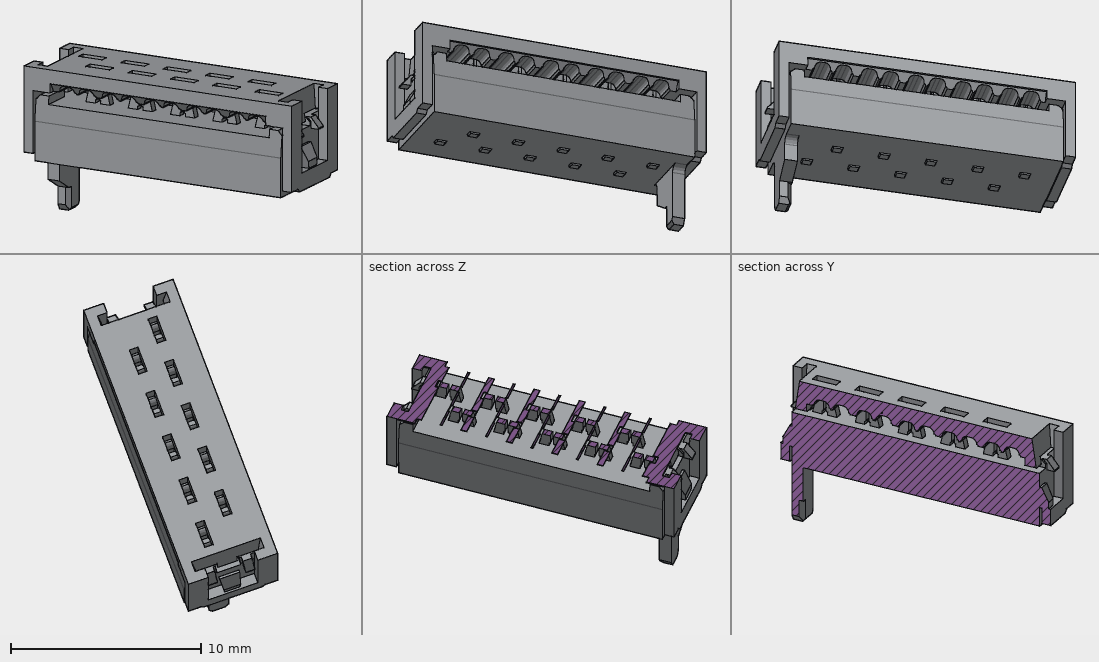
import cadquery as cq
import math


length = 16.08
width = 5.0
cover_top = 5.1
peg_bottom = -3.3

leg_thickness = 0.55
leg_inner = length / 2 - leg_thickness
leg_bottom_mid = 0.2
leg_bottom_side = 0.39
leg_bottom_half = 1.62
leg_bottom_slope = 0.18
plate_bottom = 3.83
mouth_half = 6.48
mouth_top = 4.33
mouth_ledge = 0.11
mouth_run = (mouth_top - plate_bottom) * math.tan(math.radians(30))
leg_window_width = 2.77
leg_window_bottom = 1.17
pocket_width = 3.86
pocket_inner = 6.93
pocket_taper = 0.2
tab_bottom = 3.4
tab_width = 1.1
tab_outer = pocket_inner + pocket_taper

groove_half = 0.43
groove_top = 4.25
groove_corner = 0.32
groove_spring = groove_top - groove_corner
groove_flare = groove_spring - plate_bottom
groove_shift = 0.11

contact_count = 10
pitch = 1.27
row_offset = 0.75
contact_thickness = 0.39
contact_foot_half = 0.72
contact_tip_half = 0.42
contact_tip = 4.79
contact_throat = 4.5
contact_bend_half = 0.56
contact_bend = 3.83
tip_round = 0.16
fork_half = 0.088
fork_foot_half = 0.16
fork_flare_low = 3.31
fork_flare_high = 3.38
window_length = 1.42
window_width = 0.48
tail_depth = 0.1
tail_bottom = 0.48
tail_top = 0.58

base_length = 14.76
base_end = base_length / 2
base_top = 3.15
post_inner = 6.62
post_top = 3.6
post_chamfer = 0.24
post_notch = 1.33
side_slope_bottom = 2.17
side_slope_run = 0.11

upper_latch_width = 0.51
upper_latch_y = 1.05
upper_latch_reach = 7.85
upper_latch_tip = 3.05
upper_latch_bottom = 2.99
lower_latch_top = 2.33
lower_latch_tip = 1.56
lower_latch_bottom = 1.1
lower_latch_reach = 7.93
lower_latch_shelf = 7.51
lower_latch_top_half = 0.56
lower_latch_bottom_half = 0.42

peg_thickness = 0.69
peg_half = 1.1
peg_root_radius = 0.39
peg_step_top = -1.35
peg_step_bottom = -2.0
peg_tip_run = 0.2
peg_tip_rise = 0.34
peg_edge_chamfer = 0.24
peg_end_chamfer = 0.16


def block(x0, x1, y0, y1, z0, z1):
    return cq.Workplane("XY").box(x1 - x0, y1 - y0, z1 - z0, centered=False).translate((x0, y0, z0))


def extrude_x(points, x0, x1):
    """Prism along X from (y, z) points."""
    return cq.Workplane("YZ").polyline(points).close().extrude(x1 - x0).translate((x0, 0, 0))


def extrude_y(profile, y0, y1):
    """Prism along Y from a closed wire drawn on the XZ plane."""
    return profile.extrude(y0 - y1).translate((0, y0, 0))


def both_ends(shape):
    return shape.union(shape.mirror("YZ"))


def contact_places():
    """X, Y and groove centre of every contact; odd and even contacts sit in opposite rows."""
    for index in range(contact_count):
        x = (index - (contact_count - 1) / 2) * pitch
        if index % 2 == 0:
            yield x, row_offset, x + groove_shift
        else:
            yield x, -row_offset, x


def end_pocket():
    """Tapered opening through the plate, between the leg and the middle of the plate."""
    top_half = pocket_width / 2
    bottom_half = top_half - pocket_taper
    depth = cover_top - plate_bottom
    return (
        cq.Workplane("XY", origin=(0, 0, plate_bottom))
        .polyline([(leg_inner, -bottom_half), (tab_outer, -bottom_half),
                   (tab_outer, bottom_half), (leg_inner, bottom_half)])
        .close()
        .workplane(offset=depth)
        .polyline([(leg_inner, -top_half), (pocket_inner, -top_half),
                   (pocket_inner, top_half), (leg_inner, top_half)])
        .close()
        .loft(ruled=True)
    )


def cable_groove(x):
    knee = groove_corner * math.sqrt(0.5)
    corner_x = groove_half - groove_corner
    mouth_x = groove_half + groove_flare
    profile = (
        cq.Workplane("XZ")
        .moveTo(x - mouth_x, plate_bottom)
        .radiusArc((x - groove_half, groove_spring), groove_flare)
        .threePointArc((x - corner_x - knee, groove_spring + knee), (x - corner_x, groove_top))
        .lineTo(x + corner_x, groove_top)
        .threePointArc((x + corner_x + knee, groove_spring + knee), (x + groove_half, groove_spring))
        .radiusArc((x + mouth_x, plate_bottom), groove_flare)
        .close()
    )
    return extrude_y(profile, -width / 2, width / 2)


def make_cover():
    side = width / 2
    cover = block(-length / 2, length / 2, -side, side, plate_bottom, cover_top)

    slope_half = leg_bottom_half + leg_bottom_slope
    leg = extrude_x(
        [(-side, cover_top), (-side, leg_bottom_side), (-slope_half, leg_bottom_side),
         (-leg_bottom_half, leg_bottom_mid), (leg_bottom_half, leg_bottom_mid),
         (slope_half, leg_bottom_side), (side, leg_bottom_side), (side, cover_top)],
        leg_inner, length / 2)
    cover = cover.union(both_ends(leg))

    half_window = leg_window_width / 2
    leg_window = block(leg_inner, length / 2, -half_window, half_window, leg_window_bottom, cover_top)
    cover = cover.cut(both_ends(leg_window)).cut(both_ends(end_pocket()))

    tab_taper = pocket_taper * (plate_bottom - tab_bottom) / (cover_top - plate_bottom)
    tab_profile = cq.Workplane("XZ").polyline(
        [(mouth_half, plate_bottom), (tab_outer, plate_bottom),
         (tab_outer + tab_taper, tab_bottom), (mouth_half, tab_bottom)]).close()
    tab = extrude_y(tab_profile, -tab_width / 2, tab_width / 2)
    cover = cover.union(both_ends(tab))

    ledge_end = mouth_ledge - side
    mouth = extrude_x([(-side, plate_bottom), (-side, mouth_top), (ledge_end, mouth_top),
                       (ledge_end + mouth_run, plate_bottom)], -mouth_half, mouth_half)
    cover = cover.cut(mouth).cut(mouth.mirror("XZ"))

    for x, y, groove_x in contact_places():
        cover = cover.cut(cable_groove(groove_x))
        window = block(x - window_length / 2, x + window_length / 2,
                       y - window_width / 2, y + window_width / 2, plate_bottom, cover_top)
        cover = cover.cut(window)
    return cover


def end_posts():
    """Posts across both base ends, with the outer top edge chamfered and a notch for the cover tab."""
    profile = cq.Workplane("XZ").polyline(
        [(post_inner, 0), (base_end, 0), (base_end, post_top - post_chamfer),
         (base_end - post_chamfer, post_top), (post_inner, post_top)]).close()
    post = extrude_y(profile, -width / 2, width / 2)
    notch = block(post_inner, base_end, -post_notch / 2, post_notch / 2, base_top, post_top)
    return both_ends(post.cut(notch))


def side_slope_cut():
    """Wedge that leans the upper front side of the base and posts inward."""
    rise = post_top - side_slope_bottom
    run = side_slope_run * rise / (base_top - side_slope_bottom)
    side = width / 2
    return extrude_x([(-side, side_slope_bottom), (-side, post_top), (run - side, post_top)],
                     -base_end, base_end)


def upper_latch():
    """Pair of wedges beside the post notch."""
    profile = cq.Workplane("XZ").polyline(
        [(post_inner, post_top), (base_end, post_top), (upper_latch_reach, upper_latch_tip),
         (upper_latch_reach, upper_latch_bottom), (post_inner, upper_latch_bottom)]).close()
    latch = extrude_y(profile, upper_latch_y - upper_latch_width / 2, upper_latch_y + upper_latch_width / 2)
    return latch.union(latch.mirror("XZ"))


def lower_latch():
    """Tapered tongue that rests in the lower edge of the leg window."""
    profile = cq.Workplane("XZ").polyline(
        [(post_inner, lower_latch_top), (lower_latch_shelf, lower_latch_top),
         (lower_latch_reach, lower_latch_tip), (lower_latch_reach, lower_latch_bottom),
         (post_inner, lower_latch_bottom)]).close()
    tongue = extrude_y(profile, -lower_latch_top_half, lower_latch_top_half)
    taper = extrude_x(
        [(-lower_latch_bottom_half, lower_latch_bottom), (lower_latch_bottom_half, lower_latch_bottom),
         (lower_latch_top_half, lower_latch_top), (-lower_latch_top_half, lower_latch_top)],
        post_inner, lower_latch_reach)
    return tongue.intersect(taper)


def make_base():
    side = width / 2
    base = block(-base_end, base_end, -side, side, 0, base_top).union(end_posts())
    slope = side_slope_cut()
    base = base.cut(slope).cut(slope.mirror("XZ"))
    return base.union(both_ends(upper_latch())).union(both_ends(lower_latch()))


def contact_tine(x, sign):
    """One side of a forked contact; the tip rolls over into the fork throat."""
    def at(offset, z):
        return x + sign * offset, z

    return (
        cq.Workplane("XZ")
        .moveTo(*at(fork_foot_half, base_top))
        .lineTo(*at(contact_foot_half, base_top))
        .lineTo(*at(contact_bend_half, contact_bend))
        .lineTo(*at(contact_bend_half, contact_tip - tip_round))
        .radiusArc(at(contact_tip_half, contact_tip), -sign * tip_round)
        .radiusArc(at(fork_half, contact_throat), -sign * contact_tip_half)
        .lineTo(*at(fork_half, fork_flare_high))
        .lineTo(*at(fork_foot_half, fork_flare_low))
        .close()
    )


def make_contact(x, y):
    y0 = y - contact_thickness / 2
    y1 = y + contact_thickness / 2
    tail = cq.Workplane("XZ").polyline(
        [(x - tail_top / 2, 0), (x - tail_bottom / 2, -tail_depth),
         (x + tail_bottom / 2, -tail_depth), (x + tail_top / 2, 0)]).close()
    contact = extrude_y(tail, y0, y1)
    for sign in (-1, 1):
        contact = contact.union(extrude_y(contact_tine(x, sign), y0, y1))
    return contact


def make_peg():
    root_half = peg_half + peg_root_radius
    shoulder = peg_bottom + peg_tip_rise
    x0 = -base_end
    x1 = x0 + peg_thickness
    peg = (
        cq.Workplane("YZ")
        .moveTo(root_half, 0)
        .radiusArc((peg_half, -peg_root_radius), -peg_root_radius)
        .lineTo(peg_half, shoulder)
        .lineTo(peg_half - peg_tip_run, peg_bottom)
        .lineTo(peg_tip_run, peg_bottom)
        .lineTo(0, shoulder)
        .lineTo(0, peg_step_bottom)
        .lineTo(-peg_half, peg_step_top)
        .lineTo(-peg_half, -peg_root_radius)
        .radiusArc((-root_half, 0), -peg_root_radius)
        .close()
        .extrude(peg_thickness)
        .translate((x0, 0, 0))
    )
    edge_relief = (
        cq.Workplane("XY", origin=(0, 0, peg_bottom))
        .polyline([(x1 - peg_edge_chamfer, 0), (x1, 0), (x1, peg_edge_chamfer)])
        .close()
        .extrude(peg_step_bottom - peg_bottom)
    )
    end_corner = cq.Workplane("XZ").polyline(
        [(x1 - peg_end_chamfer, peg_bottom), (x1, peg_bottom),
         (x1, peg_bottom + peg_end_chamfer)]).close()
    return peg.cut(edge_relief).cut(extrude_y(end_corner, 0, peg_half))


result = make_base().union(make_peg())
for contact_x, contact_y, _ in contact_places():
    result = result.union(make_contact(contact_x, contact_y))
result = result.union(make_cover())